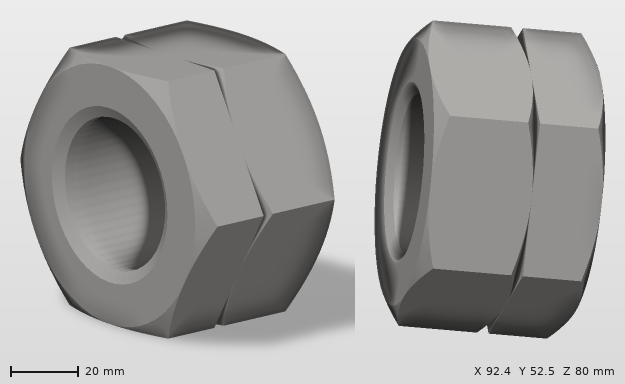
import cadquery as cq
import math


ACROSS_CORNERS = 92.4
ACROSS_FLATS = ACROSS_CORNERS * math.cos(math.radians(30))

TOTAL_LENGTH = 52.5
LOCK_NUT_LENGTH = 21.4

BORE_DIAMETER = 46.9
COUNTERSINK_DIAMETER = 54.1
COLLAR_DIAMETER = COUNTERSINK_DIAMETER

CONE_ANGLE = 30.0
CONE_SLOPE = math.tan(math.radians(CONE_ANGLE))

CLEAR_RADIUS = 0.6 * ACROSS_CORNERS


def revolve_about_y(points):
    """Revolve a closed (radius, y) outline about the Y axis."""
    return cq.Workplane("XY").polyline(points).close().revolve(360, (0, 0, 0), (0, 1, 0))


def cylinder(diameter, y_front, y_back):
    return cq.Workplane("XZ", origin=(0, y_back, 0)).circle(diameter / 2).extrude(y_back - y_front)


def hexagon_prism(y_front, y_back):
    return (
        cq.Workplane("XZ", origin=(0, y_back, 0))
        .polygon(6, ACROSS_CORNERS)
        .extrude(y_back - y_front)
    )


def corner_envelope(y_front, y_back, chamfer_back):
    """Round body whose conical ends trim the hexagon corners."""
    face_radius = ACROSS_FLATS / 2
    cone_height = (CLEAR_RADIUS - face_radius) * CONE_SLOPE
    points = [(0, y_front), (face_radius, y_front), (CLEAR_RADIUS, y_front + cone_height)]
    if chamfer_back:
        points += [(CLEAR_RADIUS, y_back - cone_height), (face_radius, y_back)]
    else:
        points += [(CLEAR_RADIUS, y_back)]
    points += [(0, y_back)]
    return revolve_about_y(points)


def countersunk_bore():
    """Full-length bore with a conical mouth at each end."""
    bore_radius = BORE_DIAMETER / 2
    mouth_radius = COUNTERSINK_DIAMETER / 2
    depth = (mouth_radius - bore_radius) * CONE_SLOPE
    return revolve_about_y([
        (0, 0),
        (mouth_radius, 0),
        (bore_radius, depth),
        (bore_radius, TOTAL_LENGTH - depth),
        (mouth_radius, TOTAL_LENGTH),
        (0, TOTAL_LENGTH),
    ])


def make_lock_nut():
    """Thin front nut, chamfered only in front, with a plain hole for the collar."""
    return (
        hexagon_prism(0, LOCK_NUT_LENGTH)
        .intersect(corner_envelope(0, LOCK_NUT_LENGTH, chamfer_back=False))
        .cut(cylinder(COLLAR_DIAMETER, 0, LOCK_NUT_LENGTH))
    )


def make_main_nut():
    """Thick rear nut, chamfered at both ends, with its collar and the whole bore."""
    return (
        hexagon_prism(LOCK_NUT_LENGTH, TOTAL_LENGTH)
        .intersect(corner_envelope(LOCK_NUT_LENGTH, TOTAL_LENGTH, chamfer_back=True))
        .union(cylinder(COLLAR_DIAMETER, 0, LOCK_NUT_LENGTH))
        .cut(countersunk_bore())
    )


lock_nut = make_lock_nut()
main_nut = make_main_nut()

result = cq.Compound.makeCompound([lock_nut.val(), main_nut.val()])